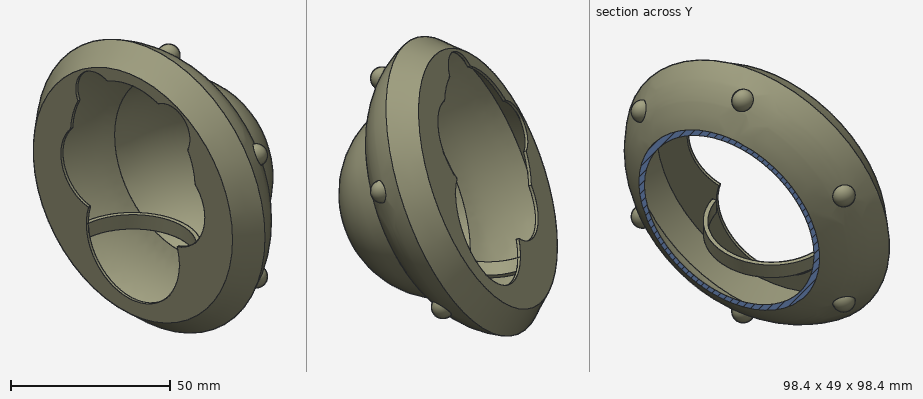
import cadquery as cq
import math

face_radius = 42.8
rim_radius = 49.2
rim_height = 8.1
neck_radius = 31.8
neck_height = 25.5
total_height = 49.0
saucer_bulge = 2.5
wall = 1.0

light_count = 6
light_radius = 3.6
light_ring_radius = 43.3
light_height = 16.4

head_radius = 26.8
head_z = 12.2
ear_radius = 9.0
ear_x = 15.6
ear_z = 29.0
cheek_radius = 15.1
cheek_x = 15.9
cheek_z = 3.3
body_radius = 20.0
body_z = -17.5

strap_radius = 20.0
strap_wall = 1.5
strap_top_z = -17.8
strap_width = 5.1


def dome_radius():
    rise = total_height - neck_height
    return (neck_radius**2 + rise**2) / (2 * rise)


def make_hull():
    """Solid saucer and dome."""
    radius = dome_radius()
    dome_center = total_height - radius
    neck_angle = math.asin((neck_height - dome_center) / radius)
    middle_angle = (neck_angle + math.pi / 2) / 2
    dome_middle = (radius * math.cos(middle_angle), dome_center + radius * math.sin(middle_angle))

    run = rim_radius - neck_radius
    rise = neck_height - rim_height
    chord = math.hypot(run, rise)
    saucer_middle = (
        (rim_radius + neck_radius) / 2 + saucer_bulge * rise / chord,
        (rim_height + neck_height) / 2 + saucer_bulge * run / chord,
    )
    return (
        cq.Workplane("XY")
        .lineTo(face_radius, 0)
        .lineTo(rim_radius, rim_height)
        .threePointArc(saucer_middle, (neck_radius, neck_height))
        .threePointArc(dome_middle, (0, total_height))
        .close()
        .revolve(360, (0, 0), (0, 1))
    )


def make_cavity(hull):
    """Inside of the hull, one wall thickness in from every face."""
    return hull.cut(hull.shell(-wall, kind="intersection"))


def make_lights():
    lights = cq.Workplane("XY")
    for index in range(light_count):
        angle = math.pi / 2 + index * 2 * math.pi / light_count
        center = (light_ring_radius * math.cos(angle), light_height, light_ring_radius * math.sin(angle))
        lights = lights.add(cq.Workplane("XY").sphere(light_radius).translate(center))
    return lights.combine()


def make_opening():
    """Cutter through the flat face only."""
    circles = [(0, head_z, head_radius), (0, body_z, body_radius)]
    for side in (-1, 1):
        circles.append((side * ear_x, ear_z, ear_radius))
        circles.append((side * cheek_x, cheek_z, cheek_radius))
    opening = None
    for x, z, radius in circles:
        disc = cq.Workplane("XZ").center(x, z).circle(radius).extrude(-wall)
        opening = disc if opening is None else opening.union(disc)
    return opening


def make_strap():
    """Half ring about Z, rooted in the flat face."""
    outer_radius = strap_radius + strap_wall
    ring = (
        cq.Workplane("XY")
        .workplane(offset=strap_top_z - strap_width)
        .circle(outer_radius)
        .circle(strap_radius)
        .extrude(strap_width)
    )
    inner_half = cq.Workplane("XY").box(
        2 * outer_radius, outer_radius, 4 * strap_width, centered=(True, False, True)
    ).translate((0, 0, strap_top_z))
    return ring.intersect(inner_half)


hull = make_hull()
cavity = make_cavity(hull)
result = (
    hull.union(make_lights())
    .cut(cavity)
    .cut(make_opening())
    .union(make_strap())
)